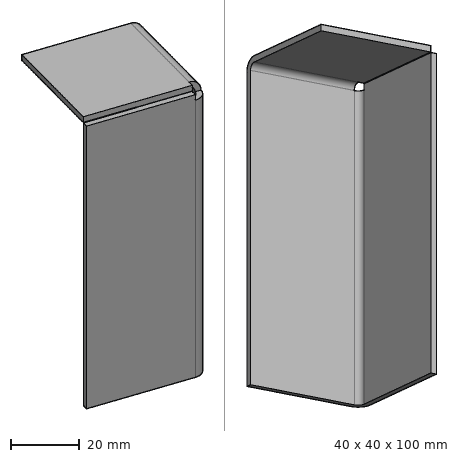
import cadquery as cq

width = 40.0
depth = 40.0
height = 100.0
thickness = 2.0
inner_radius = 2.0
outer_radius = inner_radius + thickness

edge_gap = 0.1

flat_x = width - outer_radius
flat_y = depth - outer_radius
flat_z = height - outer_radius


def block(x_size, y_size, z_size, corner):
    """Box grown from its lowest corner."""
    return cq.Workplane("XY").box(x_size, y_size, z_size, centered=False).translate(corner)


def bend(plane, centre, length):
    """Quarter ring bend running along the plane normal, in its first quadrant."""
    ring = cq.Workplane(plane, origin=centre).circle(outer_radius).circle(inner_radius).extrude(length)
    quadrant = cq.Workplane(plane, origin=centre).rect(outer_radius, outer_radius, centered=False).extrude(length)
    return ring.intersect(quadrant)


back_wall = block(flat_x, thickness, flat_z, (0, depth - thickness, 0))
side_wall = block(thickness, flat_y, height - thickness - edge_gap, (width - thickness, 0, 0))
top_flange = block(width - thickness, flat_y, thickness, (0, 0, height - thickness))

side_bend = bend("XY", (flat_x, flat_y, 0), flat_z)
top_bend = bend("YZ", (0, flat_y, flat_z), flat_x)

result = back_wall.union(side_bend).union(side_wall).union(top_bend).union(top_flange)